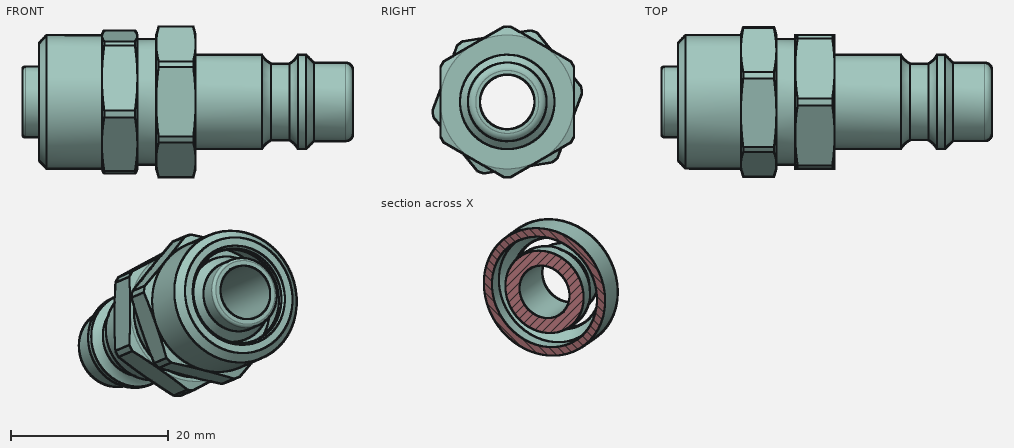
import cadquery as cq
import math

total_length = 42.0
through_bore_diameter = 6.9

stub_diameter = 9.0
stub_tip_fillet = 0.4
flare_start_x = 3.0
flare_end_x = 5.0
flare_diameter = 11.0
seat_x = 8.9

neck_diameter = 14.6
collar_diameter = 16.0

across_flats = 17.0
across_corners = 19.15
hex_bevel_length = 0.3
housing_hex_start_x = 17.0
housing_hex_end_x = 22.0
housing_hex_turn = 90.0

plug_diameter = 12.0
groove_diameter = 9.75
groove_flank_radius = 2.5
plug_tip_diameter = 10.0
plug_tip_fillet = 1.0
plug_shoulder_x = 30.4
groove_start_x = 31.6
groove_end_x = 33.9
rib_start_x = 35.0
rib_end_x = 36.0
plug_tip_start_x = 37.0

nut_start_x = 2.1
nut_hex_start_x = 10.1
nut_end_x = 14.6
nut_hex_turn = 9.2
nut_diameter = 17.0
nut_face_diameter = 14.92
nut_bevel_length = 1.0
nut_mouth_diameter = 12.8
nut_mouth_length = 0.4
nut_lip_diameter = 12.2
nut_lip_end_x = 3.3
nut_cone_end_x = 4.9


def revolved(profile):
    """Solid of revolution about X from an (x, diameter) outline closed along the axis.

    A third entry in a point makes the stretch leading to it an arc of that radius,
    positive for a hollow stretch and negative for a rounded one.
    """
    outline = cq.Workplane("XY").moveTo(profile[0][0], 0)
    for x, diameter, *arc_radius in profile:
        if arc_radius:
            outline = outline.radiusArc((x, diameter / 2), -arc_radius[0])
        else:
            outline = outline.lineTo(x, diameter / 2)
    outline = outline.lineTo(profile[-1][0], 0).close()
    return outline.revolve(360, (0, 0, 0), (1, 0, 0))


def hexagon(start_x, end_x, turn):
    """Hexagon along X with rounded, bevelled corners, turned about X from corners on Y."""
    prism = (
        cq.Workplane("YZ", origin=(start_x, 0, 0))
        .polygon(6, across_flats / math.cos(math.radians(30)))
        .extrude(end_x - start_x)
        .rotate((0, 0, 0), (1, 0, 0), turn)
    )
    envelope = revolved([
        (start_x, across_flats),
        (start_x + hex_bevel_length, across_corners),
        (end_x - hex_bevel_length, across_corners),
        (end_x, across_flats),
    ])
    return prism.intersect(envelope)


def make_housing():
    """Tube stub, neck, collar, hexagon and plug in one piece with a bore right through."""
    body = revolved([
        (0, stub_diameter - 2 * stub_tip_fillet),
        (stub_tip_fillet, stub_diameter, -stub_tip_fillet),
        (flare_start_x, stub_diameter),
        (flare_end_x, flare_diameter),
        (seat_x, flare_diameter),
        (seat_x, neck_diameter),
        (nut_end_x, neck_diameter),
        (nut_end_x, collar_diameter),
        (housing_hex_start_x, collar_diameter),
        (housing_hex_start_x, plug_diameter),
        (plug_shoulder_x, plug_diameter),
        (groove_start_x, groove_diameter, groove_flank_radius),
        (groove_end_x, groove_diameter),
        (rib_start_x, plug_diameter, groove_flank_radius),
        (rib_end_x, plug_diameter),
        (plug_tip_start_x, plug_tip_diameter),
        (total_length - plug_tip_fillet, plug_tip_diameter),
        (total_length, plug_tip_diameter - 2 * plug_tip_fillet, -plug_tip_fillet),
    ])
    body = body.union(hexagon(housing_hex_start_x, housing_hex_end_x, housing_hex_turn))
    bore = revolved([(0, through_bore_diameter), (total_length, through_bore_diameter)])
    return body.cut(bore)


def make_nut():
    """Round sleeve and hexagon, with a narrow lip that widens to the neck diameter."""
    sleeve = revolved([
        (nut_start_x, nut_face_diameter),
        (nut_start_x + nut_bevel_length, nut_diameter),
        (nut_hex_start_x, nut_diameter),
    ])
    body = sleeve.union(hexagon(nut_hex_start_x, nut_end_x, nut_hex_turn))
    cavity = revolved([
        (nut_start_x, nut_mouth_diameter),
        (nut_start_x + nut_mouth_length, nut_lip_diameter),
        (nut_lip_end_x, nut_lip_diameter),
        (nut_cone_end_x, neck_diameter),
        (nut_end_x, neck_diameter),
    ])
    return body.cut(cavity)


housing = make_housing()
nut = make_nut()
result = cq.Compound.makeCompound([housing.val(), nut.val()])